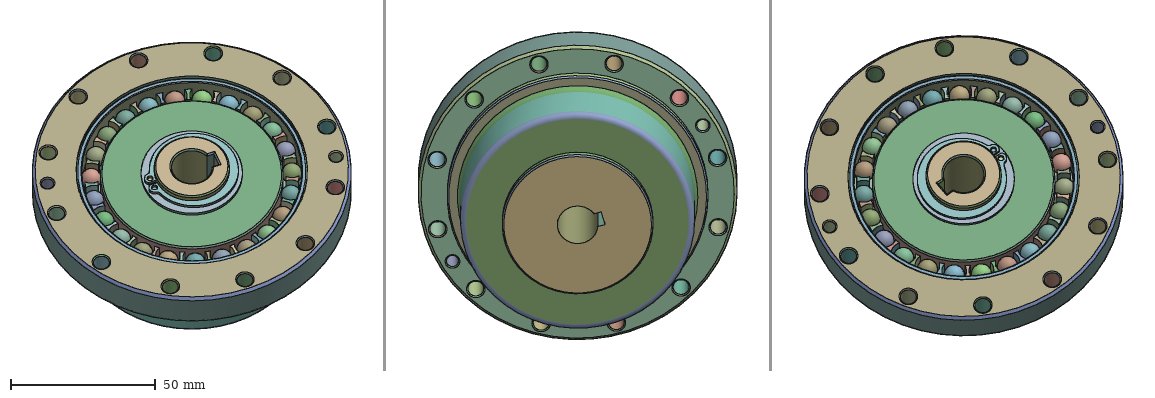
import cadquery as cq
import math

TOTAL_HEIGHT = 44.0
FLANGE_DIAMETER = 110.0
EDGE_CHAMFER = 1.0
SMALL_CHAMFER = 0.5

HOUSING_BOTTOM = 2.6
NECK_BOTTOM = 22.1
STEP_BOTTOM = 25.2
FLANGE_BOTTOM = 28.0
FLANGE_TOP = 41.9

STEP_DIAMETER = 90.0
HOUSING_DIAMETER = 80.7
HOUSING_EDGE_RADIUS = 2.0
NECK_RADIUS = 5.0
FOOT_DIAMETER = 52.0

OUTER_RING_DIAMETER = 79.8
OUTER_RING_TOP = 41.1
RACE_CHAMFER = 0.3
CHANNEL_OUTER_DIAMETER = 75.8
CHANNEL_INNER_DIAMETER = 63.0
CHANNEL_FLOOR = 31.9
DISC_TOP = 39.5
BALL_COUNT = 23
BALL_DIAMETER = 7.0
BALL_CENTRE_Z = 35.1
BALL_CIRCLE_RADIUS = (CHANNEL_OUTER_DIAMETER + CHANNEL_INNER_DIAMETER) / 4
CAGE_TOP = 38.3
CAGE_WIDTH = 4.4
CAGE_POCKET_DIAMETER = 8.5

COLLAR_DIAMETER = 35.0
COLLAR_TOP = 40.6
SHAFT_DIAMETER = 26.0
BORE_DIAMETER = 14.0
KEYWAY_WIDTH = 5.0
KEYWAY_REACH = 9.1

CLIP_THICKNESS = 1.1
CLIP_RADIUS = 15.4
CLIP_OFFSET = 0.8
CLIP_GAP = 1.1
EAR_RADIUS = 2.0
EAR_FILLET = 1.3
EAR_HOLE_DIAMETER = 2.0
EAR_SPACING = 4.2
EAR_DISTANCE = 14.6

BOLT_CIRCLE_RADIUS = 50.0
BOLT_COUNT = 12
BOLT_HOLE_DIAMETER = 5.5
DOWEL_HOLE_DIAMETER = 4.2
DOWEL_ANGLES = (75, 255)
HOLE_CHAMFER = 0.4


def disc(diameter, bottom, top):
    return cq.Workplane("XY").workplane(offset=bottom).circle(diameter / 2).extrude(top - bottom)


def polar(radius, angle):
    return (radius * math.cos(math.radians(angle)), radius * math.sin(math.radians(angle)))


def housing():
    """Flange, step, flared neck, barrel and foot, stacked from the top down."""
    flange = disc(FLANGE_DIAMETER, FLANGE_BOTTOM, FLANGE_TOP).edges().chamfer(EDGE_CHAMFER)
    step = disc(STEP_DIAMETER, STEP_BOTTOM, FLANGE_BOTTOM).faces("<Z").edges().chamfer(SMALL_CHAMFER)
    barrel = disc(HOUSING_DIAMETER, HOUSING_BOTTOM, STEP_BOTTOM)
    barrel = barrel.faces("<Z").edges().fillet(HOUSING_EDGE_RADIUS)
    foot = disc(FOOT_DIAMETER, 0, HOUSING_BOTTOM).faces("<Z").edges().chamfer(SMALL_CHAMFER)
    return flange.union(step).union(barrel).union(neck()).union(foot)


def neck():
    """Flare above the barrel: an arc that leaves the barrel wall tangentially."""
    radius = HOUSING_DIAMETER / 2
    height = STEP_BOTTOM - NECK_BOTTOM

    def flare(rise):
        return NECK_RADIUS - math.sqrt(NECK_RADIUS**2 - rise**2)

    profile = (
        cq.Workplane("XZ")
        .moveTo(0, NECK_BOTTOM)
        .lineTo(radius, NECK_BOTTOM)
        .threePointArc(
            (radius + flare(height / 2), NECK_BOTTOM + height / 2),
            (radius + flare(height), STEP_BOTTOM),
        )
        .lineTo(0, STEP_BOTTOM)
        .close()
    )
    return profile.revolve(360, (0, 0, 0), (0, 1, 0))


def outer_ring_recess():
    """Space above the outer ring, with a groove left by the ring's outer chamfer."""
    outer = OUTER_RING_DIAMETER / 2
    profile = (
        cq.Workplane("XZ")
        .moveTo(0, FLANGE_TOP)
        .lineTo(outer, FLANGE_TOP)
        .lineTo(outer, OUTER_RING_TOP - SMALL_CHAMFER)
        .lineTo(outer - SMALL_CHAMFER, OUTER_RING_TOP)
        .lineTo(CHANNEL_OUTER_DIAMETER / 2 + RACE_CHAMFER, OUTER_RING_TOP)
        .lineTo(CHANNEL_OUTER_DIAMETER / 2, OUTER_RING_TOP - RACE_CHAMFER)
        .lineTo(CHANNEL_OUTER_DIAMETER / 2, CHANNEL_FLOOR)
        .lineTo(0, CHANNEL_FLOOR)
        .close()
    )
    return profile.revolve(360, (0, 0, 0), (0, 1, 0))


def hub():
    """Inner disc, collar and shaft end, stacked from the channel floor up."""
    inner_disc = disc(CHANNEL_INNER_DIAMETER, CHANNEL_FLOOR, DISC_TOP)
    inner_disc = inner_disc.faces(">Z").edges().chamfer(SMALL_CHAMFER)
    collar = disc(COLLAR_DIAMETER, DISC_TOP, COLLAR_TOP)
    shaft = disc(SHAFT_DIAMETER, COLLAR_TOP, TOTAL_HEIGHT).faces(">Z").edges().chamfer(SMALL_CHAMFER)
    return inner_disc.union(collar).union(shaft)


def ball_positions():
    return [polar(BALL_CIRCLE_RADIUS, 90 + k * 360 / BALL_COUNT) for k in range(BALL_COUNT)]


def balls():
    """Balls wide enough to bite into both channel walls, tying the disc to the housing."""
    circle = cq.Workplane("XY").workplane(offset=BALL_CENTRE_Z)
    return [circle.center(x, y).sphere(BALL_DIAMETER / 2) for x, y in ball_positions()]


def cage():
    """Bars between the balls: a ring cut by one round pocket per ball."""
    height = CAGE_TOP - CHANNEL_FLOOR
    start = cq.Workplane("XY").workplane(offset=CHANNEL_FLOOR)
    ring = (
        start.circle(BALL_CIRCLE_RADIUS + CAGE_WIDTH / 2)
        .circle(BALL_CIRCLE_RADIUS - CAGE_WIDTH / 2)
        .extrude(height)
    )
    pockets = start.pushPoints(ball_positions()).circle(CAGE_POCKET_DIAMETER / 2).extrude(height)
    return ring.cut(pockets)


def snap_ring():
    """Eccentric clip around the shaft, with two drilled ears beside its gap."""
    start = cq.Workplane("XY").workplane(offset=COLLAR_TOP)
    ear_points = [(side * EAR_SPACING / 2, -EAR_DISTANCE) for side in (-1, 1)]
    clip = start.center(0, CLIP_OFFSET).circle(CLIP_RADIUS).extrude(CLIP_THICKNESS)
    for x, y in ear_points:
        clip = clip.union(start.center(x, y).circle(EAR_RADIUS).extrude(CLIP_THICKNESS))
    clip = clip.edges("|Z").edges("<X or >X").fillet(EAR_FILLET)
    holes = start.pushPoints(ear_points).circle(EAR_HOLE_DIAMETER / 2).extrude(CLIP_THICKNESS)
    gap = start.center(0, -CLIP_RADIUS).rect(CLIP_GAP, CLIP_RADIUS).extrude(CLIP_THICKNESS)
    return clip.cut(holes).cut(gap)


def bore_with_keyway():
    """Cutter for the keyed bore, widened to a chamfer at the top face."""

    def outline(start, growth):
        half_width = KEYWAY_WIDTH / 2 + growth
        radius = BORE_DIAMETER / 2 + growth
        meet = math.sqrt(radius**2 - half_width**2)
        return (
            start.moveTo(half_width, meet)
            .lineTo(half_width, KEYWAY_REACH + growth)
            .lineTo(-half_width, KEYWAY_REACH + growth)
            .lineTo(-half_width, meet)
            .threePointArc((0, -radius), (half_width, meet))
            .close()
        )

    through = outline(cq.Workplane("XY"), 0).extrude(TOTAL_HEIGHT)
    flare = outline(cq.Workplane("XY").workplane(offset=TOTAL_HEIGHT), SMALL_CHAMFER)
    flare = flare.extrude(-2 * SMALL_CHAMFER, taper=45)
    return through.union(flare)


def flange_hole(diameter, angle):
    """Cutter for one flange hole, chamfered at both faces."""
    radius = diameter / 2
    profile = (
        cq.Workplane("XZ")
        .moveTo(0, FLANGE_BOTTOM)
        .lineTo(radius + HOLE_CHAMFER, FLANGE_BOTTOM)
        .lineTo(radius, FLANGE_BOTTOM + HOLE_CHAMFER)
        .lineTo(radius, FLANGE_TOP - HOLE_CHAMFER)
        .lineTo(radius + HOLE_CHAMFER, FLANGE_TOP)
        .lineTo(0, FLANGE_TOP)
        .close()
    )
    x, y = polar(BOLT_CIRCLE_RADIUS, angle)
    return profile.revolve(360, (0, 0, 0), (0, 1, 0)).translate((x, y, 0))


result = housing().cut(outer_ring_recess()).union(hub()).union(snap_ring()).union(cage())
for ball in balls():
    result = result.union(ball)
result = result.cut(bore_with_keyway())
for k in range(BOLT_COUNT):
    result = result.cut(flange_hole(BOLT_HOLE_DIAMETER, k * 360 / BOLT_COUNT))
for dowel_angle in DOWEL_ANGLES:
    result = result.cut(flange_hole(DOWEL_HOLE_DIAMETER, dowel_angle))